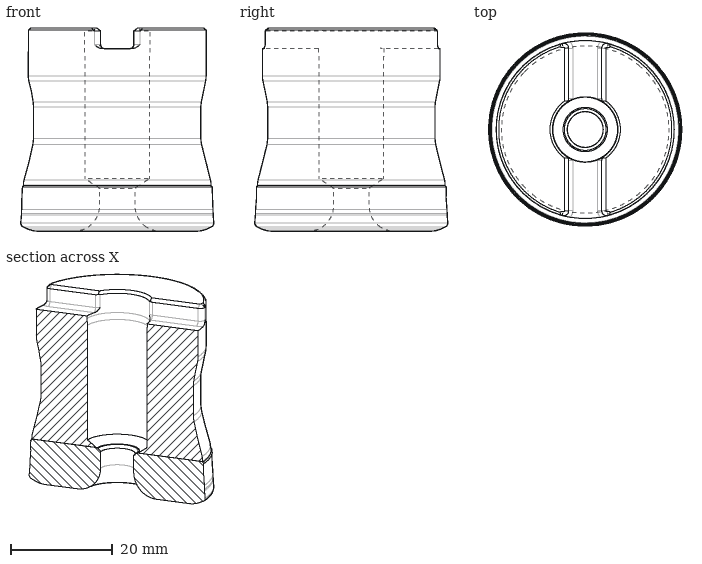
import cadquery as cq
import math

total_height = 40.0
joint_height = 9.0
shoulder_height = 9.65
waist_bottom = 17.65
waist_top = 24.95
head_bottom = 30.05

head_radius = 35.0 / 2
waist_radius = 32.9 / 2
shoulder_radius = 36.9 / 2
blend_radius = 5.0
shoulder_blend = 4.0
rim_chamfer = 0.5

bore_radius = 12.9 / 2
inner_bore_radius = 12.7 / 2
relief_bottom = 35.4
relief_taper_end = 34.0
funnel_top = 10.4
funnel_exit_radius = 4.35
mouth_chamfer_width = 0.5

slot_half_width = 3.25
slot_depth = 4.1
slot_floor_fillet = 0.8
slot_corner_radius = 1.0
slot_chamfer_width = 0.8
edge_chamfer_depth = 0.65
cut_margin = 2.0

base_radius = 19.05
foot_corner_height = 1.1
foot_slope_radius = 16.7
foot_corner_fillet = 0.8
foot_bottom_fillet = 5.0
base_top_chamfer = 0.3
base_top_radius = 18.7
band_top = 4.3
band_top_radius = 18.85
step_top = 3.5
step_bottom = 3.2
step_radius = 18.9
base_hole_radius = 7.0 / 2
base_hole_chamfer = 0.6


def revolve_profile(profile):
    """Turn an XZ half profile about the Z axis."""
    return profile.close().revolve(360, (0, 0, 0), (0, 1, 0))


def at_corner(radius, height):
    """Selector for the circular edge of a given radius and height."""
    reach = 0.005
    return cq.selectors.BoxSelector(
        (-radius - reach, -radius - reach, height - reach),
        (radius + reach, radius + reach, height + reach),
        boundingbox=True,
    )


def make_housing_blank():
    """Solid outside shape: head, waist, flared skirt and short shoulder."""
    blank = revolve_profile(
        cq.Workplane("XZ")
        .moveTo(0, joint_height)
        .lineTo(shoulder_radius, joint_height)
        .lineTo(shoulder_radius, shoulder_height)
        .lineTo(waist_radius, waist_bottom)
        .lineTo(waist_radius, waist_top)
        .lineTo(head_radius, head_bottom)
        .lineTo(head_radius, total_height)
        .lineTo(0, total_height)
    )
    for radius, height in (
        (head_radius, head_bottom),
        (waist_radius, waist_top),
        (waist_radius, waist_bottom),
    ):
        blank = blank.edges(at_corner(radius, height)).fillet(blend_radius)
    blank = blank.edges(at_corner(shoulder_radius, shoulder_height)).fillet(shoulder_blend)
    return blank.faces(">Z").edges().chamfer(rim_chamfer)


def make_bore_cutter():
    """Chamfered mouth, relieved bore, main bore and the funnel down to the joint."""
    return revolve_profile(
        cq.Workplane("XZ")
        .moveTo(0, joint_height)
        .lineTo(funnel_exit_radius, joint_height)
        .lineTo(inner_bore_radius, funnel_top)
        .lineTo(inner_bore_radius, relief_taper_end)
        .lineTo(bore_radius, relief_bottom)
        .lineTo(bore_radius, total_height - edge_chamfer_depth)
        .lineTo(bore_radius + mouth_chamfer_width, total_height)
        .lineTo(0, total_height)
    )


corner_x = slot_half_width + slot_corner_radius
rim_corner_y = math.sqrt((head_radius - slot_corner_radius) ** 2 - corner_x ** 2)
bore_corner_y = math.sqrt((bore_radius + slot_corner_radius) ** 2 - corner_x ** 2)


def slot_outline(height):
    """Slot plan at a height, with both ends flaring out onto the rim."""
    rim_scale = head_radius / (head_radius - slot_corner_radius)
    end_scale = (head_radius + cut_margin) / (head_radius - slot_corner_radius)
    tangent_x, tangent_y = corner_x * rim_scale, rim_corner_y * rim_scale
    end_x, end_y = corner_x * end_scale, rim_corner_y * end_scale
    bend = (math.pi + math.atan2(rim_corner_y, corner_x)) / 2
    middle_x = corner_x + slot_corner_radius * math.cos(bend)
    middle_y = rim_corner_y + slot_corner_radius * math.sin(bend)
    return (
        cq.Workplane("XY", origin=(0, 0, height))
        .moveTo(slot_half_width, -rim_corner_y)
        .lineTo(slot_half_width, rim_corner_y)
        .threePointArc((middle_x, middle_y), (tangent_x, tangent_y))
        .lineTo(end_x, end_y)
        .lineTo(-end_x, end_y)
        .lineTo(-tangent_x, tangent_y)
        .threePointArc((-middle_x, middle_y), (-slot_half_width, rim_corner_y))
        .lineTo(-slot_half_width, -rim_corner_y)
        .threePointArc((-middle_x, -middle_y), (-tangent_x, -tangent_y))
        .lineTo(-end_x, -end_y)
        .lineTo(end_x, -end_y)
        .lineTo(tangent_x, -tangent_y)
        .threePointArc((middle_x, -middle_y), (slot_half_width, -rim_corner_y))
        .close()
    )


def make_slot_cutter():
    """Slot joined to the bore circle, with rounded inner corners and floor edges."""
    floor_height = total_height - slot_depth
    slot = slot_outline(floor_height).extrude(slot_depth)
    bore_disc = cq.Workplane("XY", origin=(0, 0, floor_height)).circle(bore_radius).extrude(slot_depth)
    inner_corners = cq.selectors.BoxSelector(
        (-corner_x, -bore_corner_y, floor_height),
        (corner_x, bore_corner_y, total_height),
    )
    cutter = slot.union(bore_disc).edges("|Z").edges(inner_corners).fillet(slot_corner_radius)
    return cutter.faces("<Z").edges().fillet(slot_floor_fillet)


def make_slot_chamfer_cutter():
    """Slot plan widening towards the top face."""
    spread = math.degrees(math.atan2(slot_chamfer_width, edge_chamfer_depth))
    return slot_outline(total_height - edge_chamfer_depth).extrude(edge_chamfer_depth, taper=-spread)


def make_housing():
    return (
        make_housing_blank()
        .cut(make_bore_cutter())
        .cut(make_slot_cutter())
        .cut(make_slot_chamfer_cutter())
    )


def make_base():
    """Tapered foot ring with a chamfered through hole."""
    ring = revolve_profile(
        cq.Workplane("XZ")
        .moveTo(base_hole_radius, 0)
        .lineTo(foot_slope_radius, 0)
        .lineTo(base_radius, foot_corner_height)
        .lineTo(step_radius, step_bottom)
        .lineTo(step_radius, step_top)
        .lineTo(band_top_radius, band_top)
        .lineTo(base_top_radius, joint_height - base_top_chamfer)
        .lineTo(shoulder_radius, joint_height)
        .lineTo(base_hole_radius + base_hole_chamfer, joint_height)
        .lineTo(base_hole_radius, joint_height - base_hole_chamfer)
    )
    ring = ring.edges(at_corner(base_radius, foot_corner_height)).fillet(foot_corner_fillet)
    return ring.edges(at_corner(foot_slope_radius, 0)).fillet(foot_bottom_fillet)


housing = make_housing()
base = make_base()

result = cq.Compound.makeCompound([housing.val(), base.val()])